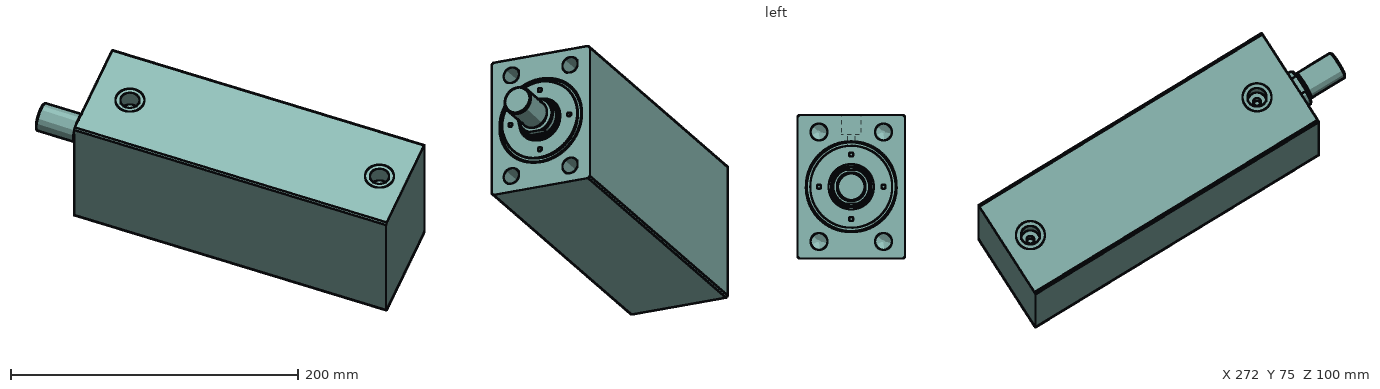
import cadquery as cq
import math

TOTAL_LENGTH = 272.0
HOUSING_WIDTH = 75.0
HOUSING_HEIGHT = 100.0
HOUSING_FACE_X = 39.5
HOUSING_LENGTH = TOTAL_LENGTH - HOUSING_FACE_X
EDGE_CHAMFER = 1.4

GLAND_DIAMETER = 61.7
GLAND_DEPTH = 19.0
GLAND_BOSS_DIAMETER = 57.0
GLAND_BOSS_HEIGHT = 1.5
GLAND_BOSS_X = HOUSING_FACE_X - GLAND_BOSS_HEIGHT
GLAND_BACK_X = HOUSING_FACE_X + GLAND_DEPTH
RECESS_CHAMFER = 0.8

SPANNER_CIRCLE_DIAMETER = 45.0
SPANNER_HOLE_COUNT = 4
SPANNER_HOLE_DIAMETER = 3.0
SPANNER_HOLE_DEPTH = 4.0

MOUNTING_SPACING_Y = 45.0
MOUNTING_SPACING_Z = 76.2
MOUNTING_HOLE_DIAMETER = 11.7
MOUNTING_HOLE_DEPTH = 24.5
DRILL_TIP_ANGLE = 118.0

FRONT_PORT_X = HOUSING_FACE_X + 27.2
REAR_PORT_X = TOTAL_LENGTH - 19.3
SPOT_FACE_DIAMETER = 20.0
SPOT_FACE_DEPTH = 0.3
PORT_DIAMETER = 13.3
PORT_DEPTH = 13.5
PASSAGE_DIAMETER = 5.5
PASSAGE_DEPTH = 21.8

ROD_DIAMETER = 26.7
ROD_CHAMFER = 0.8
SHANK_DIAMETER = 20.0
TIP_CHAMFER = 0.8
SHANK_LENGTH = 28.8
UNDERCUT_DIAMETER = 18.0
SHANK_END_CHAMFER = 0.8
COLLAR_X = 30.0
FLATS_END_X = 35.5
ACROSS_FLATS = 23.5

WIPER_DIAMETER = 28.3
WIPER_FRONT_X = 36.0
WIPER_CHAMFER = 0.5
WIPER_SEAT_DEPTH = 4.0
WIPER_BACK_X = GLAND_BOSS_X + WIPER_SEAT_DEPTH
GLAND_MOUTH_CHAMFER = 1.5


def axial_cylinder(start_x, end_x, diameter):
    """Cylinder on the X axis between two positions."""
    return cq.Workplane("YZ", origin=(start_x, 0, 0)).circle(diameter / 2).extrude(end_x - start_x)


def axial_cone(start_x, length, start_diameter, end_diameter):
    """Truncated cone on the X axis."""
    cone = cq.Solid.makeCone(
        start_diameter / 2, end_diameter / 2, length, cq.Vector(start_x, 0, 0), cq.Vector(1, 0, 0)
    )
    return cq.Workplane(obj=cone)


def drilled_hole(face_x, y, z, diameter, depth):
    """Blind hole along +X that ends in a conical drill tip."""
    tip_length = diameter / 2 / math.tan(math.radians(DRILL_TIP_ANGLE / 2))
    bore = axial_cylinder(face_x, face_x + depth, diameter)
    tip = axial_cone(face_x + depth, tip_length, diameter, 0)
    return bore.union(tip).translate((0, y, z))


def port_cut(x):
    """Spot face, threaded port and narrow oil passage, cut down from the top face."""
    top = cq.Workplane("XY", origin=(x, 0, HOUSING_HEIGHT / 2))
    spot_face = top.circle(SPOT_FACE_DIAMETER / 2).extrude(-SPOT_FACE_DEPTH)
    port = top.circle(PORT_DIAMETER / 2).extrude(-PORT_DEPTH)
    passage = top.circle(PASSAGE_DIAMETER / 2).extrude(-PASSAGE_DEPTH)
    return spot_face.union(port).union(passage)


def make_housing():
    block = (
        cq.Workplane("YZ", origin=(HOUSING_FACE_X, 0, 0))
        .rect(HOUSING_WIDTH, HOUSING_HEIGHT)
        .extrude(HOUSING_LENGTH)
        .edges("|X")
        .chamfer(EDGE_CHAMFER)
    )

    mouth_diameter = GLAND_DIAMETER + 2 * RECESS_CHAMFER
    block = block.cut(axial_cylinder(HOUSING_FACE_X, GLAND_BACK_X, GLAND_DIAMETER))
    block = block.cut(axial_cone(HOUSING_FACE_X, RECESS_CHAMFER, mouth_diameter, GLAND_DIAMETER))

    for side_y in (-1, 1):
        for side_z in (-1, 1):
            y = side_y * MOUNTING_SPACING_Y / 2
            z = side_z * MOUNTING_SPACING_Z / 2
            hole = drilled_hole(HOUSING_FACE_X, y, z, MOUNTING_HOLE_DIAMETER, MOUNTING_HOLE_DEPTH)
            block = block.cut(hole)

    for port_x in (FRONT_PORT_X, REAR_PORT_X):
        block = block.cut(port_cut(port_x))
    return block


def make_gland():
    cap = axial_cylinder(HOUSING_FACE_X, GLAND_BACK_X, GLAND_DIAMETER)
    boss = axial_cylinder(GLAND_BOSS_X, HOUSING_FACE_X, GLAND_BOSS_DIAMETER)
    gland = cap.union(boss)

    mouth_diameter = WIPER_DIAMETER + 2 * GLAND_MOUTH_CHAMFER
    gland = gland.cut(axial_cylinder(GLAND_BOSS_X, GLAND_BACK_X, ROD_DIAMETER))
    gland = gland.cut(axial_cylinder(GLAND_BOSS_X, WIPER_BACK_X, WIPER_DIAMETER))
    gland = gland.cut(axial_cone(GLAND_BOSS_X, GLAND_MOUTH_CHAMFER, mouth_diameter, WIPER_DIAMETER))

    for index in range(SPANNER_HOLE_COUNT):
        angle = 2 * math.pi * index / SPANNER_HOLE_COUNT
        y = SPANNER_CIRCLE_DIAMETER / 2 * math.cos(angle)
        z = SPANNER_CIRCLE_DIAMETER / 2 * math.sin(angle)
        hole = drilled_hole(GLAND_BOSS_X, y, z, SPANNER_HOLE_DIAMETER, SPANNER_HOLE_DEPTH)
        gland = gland.cut(hole)
    return gland


def make_wiper():
    ring = axial_cylinder(WIPER_FRONT_X, WIPER_BACK_X, WIPER_DIAMETER).faces("<X").chamfer(WIPER_CHAMFER)
    return ring.cut(axial_cylinder(WIPER_FRONT_X, WIPER_BACK_X, ROD_DIAMETER))


def make_rod():
    shank = axial_cylinder(0, SHANK_LENGTH, SHANK_DIAMETER)
    shank = shank.faces("<X").chamfer(TIP_CHAMFER).faces(">X").chamfer(SHANK_END_CHAMFER)
    undercut = axial_cylinder(SHANK_LENGTH, COLLAR_X, UNDERCUT_DIAMETER)
    collar = axial_cylinder(COLLAR_X, GLAND_BACK_X, ROD_DIAMETER).faces("<X").chamfer(ROD_CHAMFER)

    flats_length = FLATS_END_X - COLLAR_X
    flats_center_x = (COLLAR_X + FLATS_END_X) / 2
    removed = cq.Workplane("XY").box(flats_length, 2 * ROD_DIAMETER, 2 * ROD_DIAMETER)
    kept = cq.Workplane("XY").box(flats_length, 2 * ROD_DIAMETER, ACROSS_FLATS)
    collar = collar.cut(removed.cut(kept).translate((flats_center_x, 0, 0)))
    return shank.union(undercut).union(collar)


housing = make_housing()
gland = make_gland()
wiper = make_wiper()
rod = make_rod()

result = cq.Compound.makeCompound([housing.val(), gland.val(), wiper.val(), rod.val()])